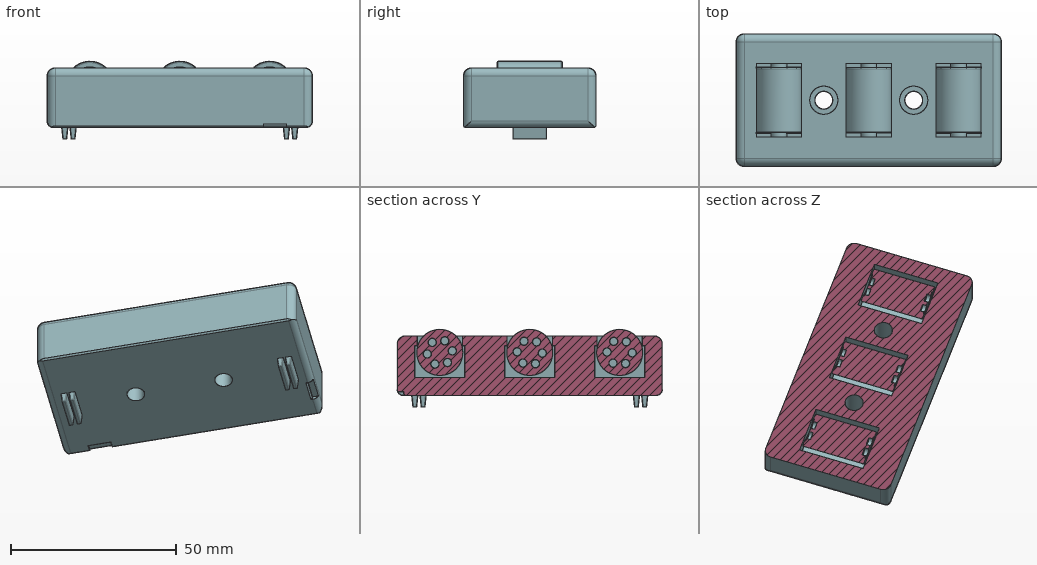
import cadquery as cq

LENGTH = 80.0
WIDTH = 40.0
HEIGHT = 18.0
CORNER_RADIUS = 2.5
END_BOTTOM_RADIUS = 2.0
BOTTOM_EDGE_CHAMFER = 0.5

NOTCH_WIDTH = 7.0
NOTCH_HEIGHT = 1.1
NOTCH_DEPTH = 2.0
FRONT_NOTCH_X = 28.75
END_NOTCH_Y = -10.1

ROLLER_PITCH = 27.1
ROLLER_RADIUS = 7.0
ROLLER_LENGTH = 19.6
ROLLER_EDGE_RADIUS = 0.4
ROLLER_RISE = 2.0
ROLLER_AXIS_Z = HEIGHT + ROLLER_RISE - ROLLER_RADIUS
HUB_RADIUS = 5.3
HUB_RECESS = 0.3
AXLE_RADIUS = 2.4

HUB_HOLE_COUNT = 6
HUB_HOLE_DIAMETER = 2.4
HUB_HOLE_RING_RADIUS = 3.8
HUB_HOLE_DEPTH = 1.5
LEFT_ROLLER_ANGLE = 67.0
MIDDLE_ROLLER_ANGLE = 57.0
RIGHT_ROLLER_ANGLE = 58.0

POCKET_WIDTH = 13.6
POCKET_LENGTH = 22.2
CAVITY_CLEARANCE = 0.5
LIP_THICKNESS = 3.0
SIDE_CAVITY_LENGTH = 20.1
MIDDLE_CAVITY_LENGTH = 19.7
CAVITY_WIDTH = 2 * (ROLLER_RADIUS + CAVITY_CLEARANCE)
CAVITY_CEILING_Z = HEIGHT - LIP_THICKNESS
CAVITY_FLOOR_Z = ROLLER_AXIS_Z - ROLLER_RADIUS - CAVITY_CLEARANCE

SCREW_DIAMETER = 5.3
HEAD_DIAMETER = 8.5
HEAD_DEPTH = 3.5

BLADE_WIDTH = 10.2
BLADE_DROP = 3.5
BLADE_ROOT_THICKNESS = 1.9
BLADE_TIP_THICKNESS = 1.15
BLADE_EDGE_RADIUS = 0.25
BLADE_PAIR_X = 33.4
BLADE_SPACING = 2.5


def box_on(z_bottom, size_x, size_y, size_z, x=0.0):
    """Box centred on x and on y = 0, standing on z_bottom."""
    block = cq.Workplane("XY").box(size_x, size_y, size_z, centered=(True, True, False))
    return block.translate((x, 0, z_bottom))


def cylinder_along_y(radius, length, x):
    """Cylinder on a roller axis, centred on y = 0."""
    disc = cq.Workplane("XZ").center(x, ROLLER_AXIS_Z).circle(radius)
    return disc.extrude(length).translate((0, length / 2, 0))


def make_housing():
    """Rounded block; the bottom end edges are rounded and the rest of the bottom rim is chamfered."""
    block = box_on(0, LENGTH, WIDTH, HEIGHT)
    block = block.edges("|Z").fillet(CORNER_RADIUS)
    block = block.faces(">Z").edges().fillet(CORNER_RADIUS)
    end_profile = (
        box_on(0, LENGTH, WIDTH, HEIGHT)
        .faces("<Z").edges("|Y").fillet(END_BOTTOM_RADIUS)
    )
    chamfered_sides = (
        box_on(0, LENGTH, WIDTH, HEIGHT)
        .faces("<Z").edges("|X").chamfer(BOTTOM_EDGE_CHAMFER)
    )
    return block.intersect(end_profile).intersect(chamfered_sides)


def notch_cutter():
    """Notch opening toward -Y from the plane y = 0, widened by a chamfer along its inner bottom edge."""
    profile = (
        cq.Workplane("YZ")
        .polyline([
            (0, 0),
            (NOTCH_DEPTH + BOTTOM_EDGE_CHAMFER, 0),
            (NOTCH_DEPTH, BOTTOM_EDGE_CHAMFER),
            (NOTCH_DEPTH, NOTCH_HEIGHT),
            (0, NOTCH_HEIGHT),
        ])
        .close()
    )
    return profile.extrude(NOTCH_WIDTH / 2, both=True)


def cut_notches(body):
    """One notch in the -Y side and one in the -X end."""
    front_notch = notch_cutter().translate((FRONT_NOTCH_X, -WIDTH / 2, 0))
    end_notch = notch_cutter().rotate((0, 0, 0), (0, 0, 1), -90)
    end_notch = end_notch.translate((-LENGTH / 2, END_NOTCH_Y, 0))
    return body.cut(front_notch).cut(end_notch)


def cut_screw_holes(body):
    """Counterbored through holes between the rollers."""
    return (
        body.faces(">Z").workplane(origin=(0, 0, HEIGHT))
        .pushPoints([(-ROLLER_PITCH / 2, 0), (ROLLER_PITCH / 2, 0)])
        .cboreHole(SCREW_DIAMETER, HEAD_DIAMETER, HEAD_DEPTH)
    )


def hub_hole_cutter(x, angle):
    """Ring of pins that reach HUB_HOLE_DEPTH in from both ends of a roller."""
    pins = (
        cq.Workplane("XZ").center(x, ROLLER_AXIS_Z)
        .polarArray(HUB_HOLE_RING_RADIUS, angle, 360, HUB_HOLE_COUNT)
        .circle(HUB_HOLE_DIAMETER / 2)
        .extrude(ROLLER_LENGTH / 2, both=True)
    )
    return pins.cut(cylinder_along_y(ROLLER_RADIUS, ROLLER_LENGTH - 2 * HUB_HOLE_DEPTH, x))


def make_roller(x, angle):
    """Roller with rounded rims and recessed, drilled ends, on an axle that spans its pocket."""
    roller = cylinder_along_y(ROLLER_RADIUS, ROLLER_LENGTH, x).edges("%CIRCLE").fillet(ROLLER_EDGE_RADIUS)
    recesses = cylinder_along_y(HUB_RADIUS, ROLLER_LENGTH, x)
    recesses = recesses.cut(cylinder_along_y(HUB_RADIUS, ROLLER_LENGTH - 2 * HUB_RECESS, x))
    axle = cylinder_along_y(AXLE_RADIUS, POCKET_LENGTH, x)
    return roller.cut(recesses).cut(hub_hole_cutter(x, angle)).union(axle)


def add_roller(body, x, angle, cavity_length):
    """Cut one roller pocket and mount a roller in it."""
    pocket = box_on(ROLLER_AXIS_Z, POCKET_WIDTH, POCKET_LENGTH, HEIGHT - ROLLER_AXIS_Z, x)
    cavity = box_on(CAVITY_FLOOR_Z, CAVITY_WIDTH, cavity_length, CAVITY_CEILING_Z - CAVITY_FLOOR_Z, x)
    return body.cut(pocket).cut(cavity).union(make_roller(x, angle))


def make_blade(x):
    """Blade tapering downward from the underside, with rounded sides and tip."""
    blade = (
        cq.Workplane("XZ")
        .polyline([
            (-BLADE_ROOT_THICKNESS / 2, 0),
            (BLADE_ROOT_THICKNESS / 2, 0),
            (BLADE_TIP_THICKNESS / 2, -BLADE_DROP),
            (-BLADE_TIP_THICKNESS / 2, -BLADE_DROP),
        ])
        .close()
        .extrude(BLADE_WIDTH / 2, both=True)
    )
    return blade.edges("not >Z").fillet(BLADE_EDGE_RADIUS).translate((x, 0, 0))


result = cut_screw_holes(cut_notches(make_housing()))
result = add_roller(result, -ROLLER_PITCH, LEFT_ROLLER_ANGLE, SIDE_CAVITY_LENGTH)
result = add_roller(result, 0, MIDDLE_ROLLER_ANGLE, MIDDLE_CAVITY_LENGTH)
result = add_roller(result, ROLLER_PITCH, RIGHT_ROLLER_ANGLE, SIDE_CAVITY_LENGTH)
for side in (-1, 1):
    for offset in (-BLADE_SPACING / 2, BLADE_SPACING / 2):
        result = result.union(make_blade(side * BLADE_PAIR_X + offset))